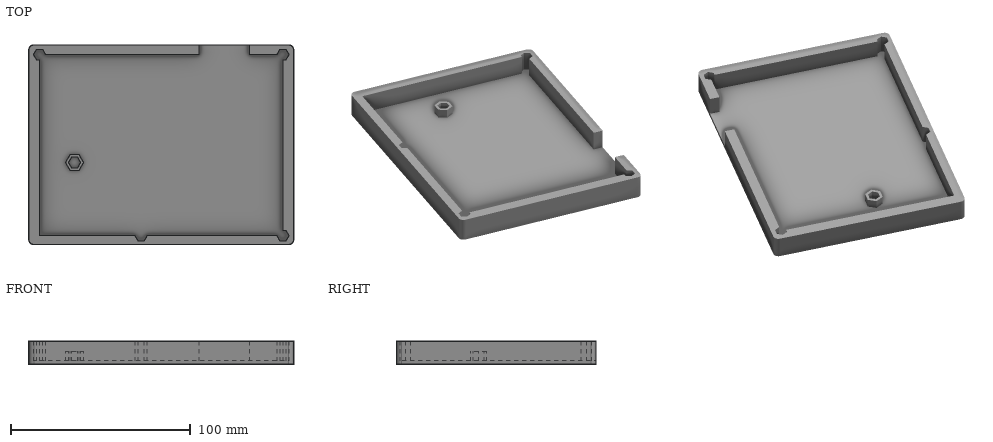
import cadquery as cq

length = 147.4
width = 111.1
height = 13.0
corner_radius = 3.0
floor_thickness = 2.0

side_wall = 6.0
front_wall = 5.0
back_wall = 5.5

screw_hex_radius = 3.4
front_relief_x = -11.2

opening_left = 21.0
opening_right = 49.0

standoff_x = -48.2
standoff_y = -9.9
standoff_radius = 5.0
standoff_height = 5.0

inner_right = length / 2 - side_wall
inner_left = -inner_right
inner_back = width / 2 - back_wall
inner_front = -width / 2 + front_wall
wall_height = height - floor_thickness


def box_above_floor(x_min, x_max, y_min, y_max):
    """Box standing on the floor and reaching the rim."""
    return (
        cq.Workplane("XY", origin=(0, 0, floor_thickness))
        .moveTo(x_min, y_min)
        .lineTo(x_max, y_min)
        .lineTo(x_max, y_max)
        .lineTo(x_min, y_max)
        .close()
        .extrude(wall_height)
    )


def hex_above_floor(x, y, radius, prism_height):
    """Hexagonal prism standing on the floor, with two corners along X."""
    return (
        cq.Workplane("XY", origin=(x, y, floor_thickness))
        .polygon(6, 2 * radius)
        .extrude(prism_height)
    )


tray = (
    cq.Workplane("XY")
    .box(length, width, height, centered=(True, True, False))
    .edges("|Z")
    .fillet(corner_radius)
)

tray = tray.cut(box_above_floor(inner_left, inner_right, inner_front, inner_back))

relief_centres = [
    (inner_left, inner_back),
    (inner_right, inner_back),
    (inner_right, inner_front),
    (front_relief_x, inner_front),
]
for relief_x, relief_y in relief_centres:
    tray = tray.cut(hex_above_floor(relief_x, relief_y, screw_hex_radius, wall_height))

tray = tray.cut(box_above_floor(opening_left, opening_right, inner_back, width / 2))

standoff = hex_above_floor(standoff_x, standoff_y, standoff_radius, standoff_height)
standoff_hole = hex_above_floor(standoff_x, standoff_y, screw_hex_radius, standoff_height)

result = tray.union(standoff.cut(standoff_hole))